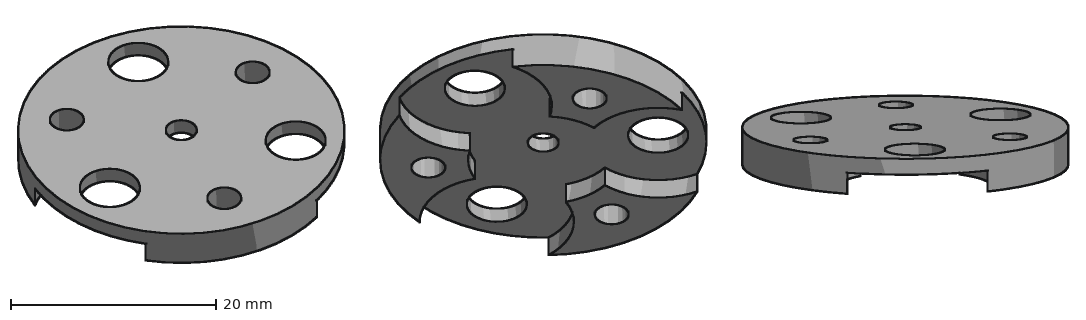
import cadquery as cq

disc_diameter = 31.8
disc_height = 3.7
plate_thickness = 1.6
pocket_depth = disc_height - plate_thickness

hole_circle_radius = 11.25
large_hole_diameter = 5.85
small_hole_diameter = 3.3
center_hole_diameter = 3.02
large_hole_angles = (60, 180, 300)
small_hole_angles = (0, 120, 240)

side_pocket_radius = 7.5
center_pocket_radius = 7.3


def cylinders_on_circle(radius, height, angles):
    """Upright cylinders standing on the bottom plane, spaced on the hole circle."""
    cylinders = cq.Workplane("XY")
    for angle in angles:
        cylinder = cq.Workplane("XY").center(hole_circle_radius, 0).circle(radius).extrude(height)
        cylinders = cylinders.add(cylinder.rotate((0, 0, 0), (0, 0, 1), angle))
    return cylinders.combine()


disc = cq.Workplane("XY").circle(disc_diameter / 2).extrude(disc_height)

center_pocket = cq.Workplane("XY").circle(center_pocket_radius).extrude(pocket_depth)
side_pockets = cylinders_on_circle(side_pocket_radius, pocket_depth, large_hole_angles)

center_hole = cq.Workplane("XY").circle(center_hole_diameter / 2).extrude(disc_height)
large_holes = cylinders_on_circle(large_hole_diameter / 2, disc_height, large_hole_angles)
small_holes = cylinders_on_circle(small_hole_diameter / 2, disc_height, small_hole_angles)

result = disc.cut(center_pocket).cut(side_pockets).cut(center_hole).cut(large_holes).cut(small_holes)